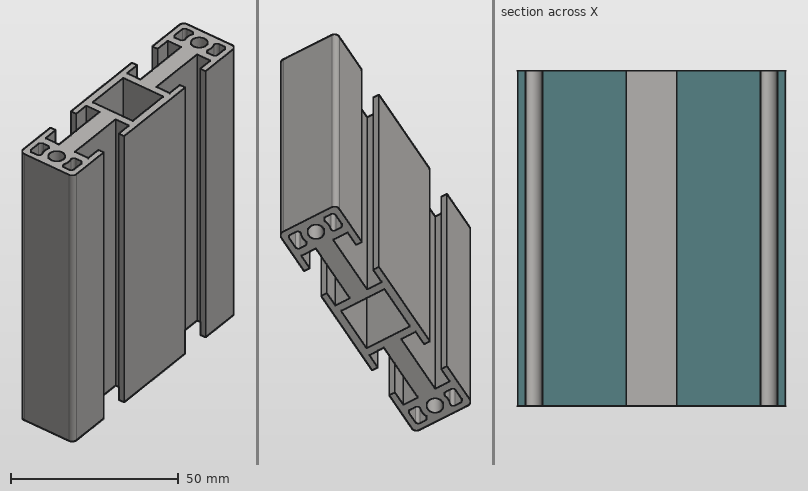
import cadquery as cq
import math

width = 20.0
depth = 80.0
length = 100.0
wall = 2.0
corner_radius = 1.6

slot_pitch = 40.0
slot_mouth = 10.0
slot_cavity = 20.0
web = 6.0

duct = 15.0

bore_diameter = 5.0
bore_offset = 35.0
bore_ring_radius = 4.5
pocket_floor = 2.5
pocket_radius = 1.0

pocket_outer_x = width / 2 - wall
pocket_outer_y = depth / 2 - wall - bore_offset
pocket_inner_y = slot_pitch / 2 + slot_cavity / 2 + pocket_floor - bore_offset


def prism(x_min, x_max, y_center, y_size):
    """Full-length rectangular prism standing on Z = 0."""
    return (
        cq.Workplane("XY")
        .center((x_min + x_max) / 2, y_center)
        .rect(x_max - x_min, y_size)
        .extrude(length)
    )


def cylinder(radius, y_center):
    """Full-length cylinder on the X = 0 plane."""
    return cq.Workplane("XY").center(0, y_center).circle(radius).extrude(length)


def t_slot(y_center):
    """T-slot opening toward +X."""
    cavity = prism(web / 2, width / 2 - wall, y_center, slot_cavity)
    mouth = prism(web / 2, width / 2, y_center, slot_mouth)
    return cavity.union(mouth)


def ring_x(y):
    """X of the bore ring at a distance y along Y from the bore axis."""
    return math.sqrt(bore_ring_radius**2 - y**2)


def end_pocket():
    """Rounded pocket on the +X side of the +Y bore, its inner side following the bore ring."""
    return (
        cq.Workplane("XY")
        .center(0, bore_offset)
        .moveTo(ring_x(pocket_outer_y), pocket_outer_y)
        .threePointArc((bore_ring_radius, 0), (ring_x(pocket_inner_y), pocket_inner_y))
        .lineTo(pocket_outer_x, pocket_inner_y)
        .lineTo(pocket_outer_x, pocket_outer_y)
        .close()
        .extrude(length)
        .edges("|Z")
        .fillet(pocket_radius)
    )


def cut_in_four(solid, cutter):
    """Cut a +X +Y cutter and its mirror images in all four quadrants."""
    pair = cutter.union(cutter.mirror("YZ"))
    return solid.cut(pair).cut(pair.mirror("XZ"))


body = prism(-width / 2, width / 2, 0, depth).edges("|Z").fillet(corner_radius)
body = body.cut(prism(-duct / 2, duct / 2, 0, duct))
body = cut_in_four(body, t_slot(slot_pitch / 2))
body = cut_in_four(body, end_pocket())
for side in (-1, 1):
    body = body.cut(cylinder(bore_diameter / 2, side * bore_offset))

result = body